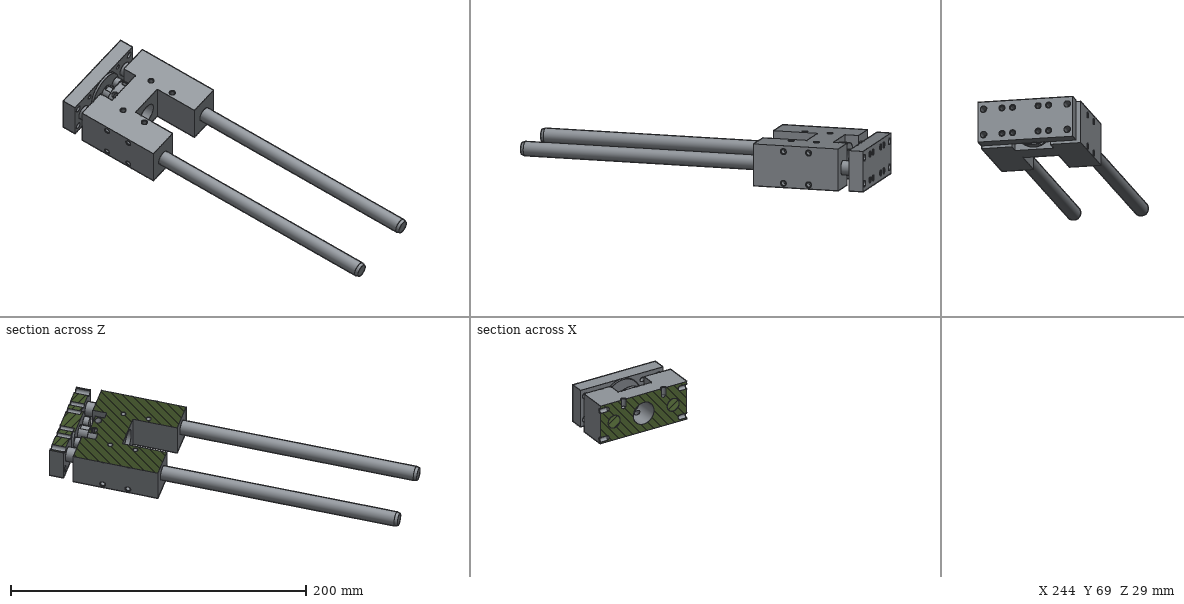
import cadquery as cq
import math


overall_length = 244.0
plate_thickness = 10.0
plate_width = 66.0
plate_height = 28.0
axis_z = plate_height / 2
rod_diameter = 10.0
rod_spacing = 47.0
rod_chamfer_length = 2.2
rod_chamfer_depth = 0.7
plate_corner_hole_diameter = 4.5
plate_corner_hole_spacing = 58.3
plate_tapped_hole_inner_spacing = 17.8
plate_tapped_hole_outer_spacing = 32.5
plate_hole_row_spacing = 17.8

flange_diameter = plate_height
flange_thickness = 1.7
stud_diameter = 10.2
stud_length = 7.0
stud_flat_width = 9.5
stud_flat_length = 6.0
screw_head_diameter = 7.0
screw_head_height = 4.1
screw_spacing = 21.5

housing_start = 17.0
housing_length = 60.0
housing_width = 69.0
housing_height = 29.0
front_notch_depth = 9.8
front_notch_width = 26.8
rear_slot_length = 31.2
rear_slot_width = 25.0
collar_diameter = 25.0
collar_bore_diameter = 16.0
collar_length = 6.5
collar_screw_hole_diameter = 4.1
collar_screw_tilt = 28.0
mounting_hole_depth = 6.0
mounting_hole_first = 21.0
mounting_hole_pitch = 17.8
top_hole_spacing = 32.0
side_hole_spacing = 22.0

tap_bore_diameter = 3.2
tap_mouth_diameter = 4.1
drill_point_angle = 118.0

housing_end = housing_start + housing_length
rod_length = overall_length - plate_thickness
notch_wall = housing_start + front_notch_depth
flange_face = plate_thickness + flange_thickness


def x_cylinder(start, length, diameter, y=0.0):
    """Cylinder along X, centred at height axis_z."""
    return cq.Workplane("YZ", origin=(start, y, axis_z)).circle(diameter / 2).extrude(length)


def x_block(start, length, width, height):
    """Block along X, centred on Y = 0 and standing on Z = 0."""
    base = cq.Workplane("XY", origin=(start, 0, 0))
    return base.box(length, width, height, centered=(False, True, False))


def countersunk_bore(depth, mouth, direction):
    """Tapped hole's bore with a 45 degree countersink at its mouth."""
    bore_radius = tap_bore_diameter / 2
    mouth_radius = tap_mouth_diameter / 2
    bore = cq.Solid.makeCylinder(bore_radius, depth, mouth, direction)
    sink = cq.Solid.makeCone(mouth_radius, bore_radius, mouth_radius - bore_radius, mouth, direction)
    return cq.Workplane(bore).union(cq.Workplane(sink))


def blind_tapped_hole(depth, mouth, direction):
    """Countersunk bore that ends in a conical drill point."""
    radius = tap_bore_diameter / 2
    point_depth = radius / math.tan(math.radians(drill_point_angle / 2))
    point = cq.Solid.makeCone(radius, 0, point_depth, mouth + direction * depth, direction)
    return countersunk_bore(depth, mouth, direction).union(cq.Workplane(point))


def make_plate():
    """Front plate with corner holes and tapped holes running through it."""
    plate = x_block(0, plate_thickness, plate_width, plate_height)
    for side in (-1, 1):
        for row in (-1, 1):
            z = axis_z + row * plate_hole_row_spacing / 2
            corner_y = side * plate_corner_hole_spacing / 2
            corner_hole = cq.Solid.makeCylinder(
                plate_corner_hole_diameter / 2, plate_thickness, cq.Vector(0, corner_y, z), cq.Vector(1, 0, 0)
            )
            plate = plate.cut(cq.Workplane(corner_hole))
            for spacing in (plate_tapped_hole_inner_spacing, plate_tapped_hole_outer_spacing):
                mouth = cq.Vector(0, side * spacing / 2, z)
                plate = plate.cut(countersunk_bore(plate_thickness, mouth, cq.Vector(1, 0, 0)))
    return plate


def make_stud():
    """Central stud with a wrench flat above and below its outer end."""
    stud = x_cylinder(flange_face, stud_length, stud_diameter)
    flat_start = flange_face + stud_length - stud_flat_length
    for side in (-1, 1):
        cut_z = axis_z + side * (stud_flat_width + stud_diameter) / 2
        base = cq.Workplane("XY", origin=(flat_start, 0, cut_z))
        flat_cut = base.box(stud_flat_length, stud_diameter, stud_diameter, centered=(False, True, True))
        stud = stud.cut(flat_cut)
    return stud


def make_slide():
    """Plate, flange, stud, screw heads and both guide rods as one solid."""
    slide = make_plate()
    slide = slide.union(x_cylinder(plate_thickness, flange_thickness, flange_diameter))
    slide = slide.union(make_stud())
    for side in (-1, 1):
        rod = x_cylinder(plate_thickness, rod_length, rod_diameter, side * rod_spacing / 2)
        slide = slide.union(rod.faces(">X").chamfer(rod_chamfer_length, rod_chamfer_depth))
        head = x_cylinder(flange_face, screw_head_height, screw_head_diameter, side * screw_spacing / 2)
        slide = slide.union(head)
    return slide


def make_collar():
    """Clamping collar on the notch wall, with four tilted radial screw holes."""
    collar_start = notch_wall - collar_length
    collar = x_cylinder(collar_start, collar_length, collar_diameter)
    tilt = math.radians(collar_screw_tilt)
    for side in (-1, 1):
        for up in (-1, 1):
            direction = cq.Vector(0, side * math.sin(tilt), up * math.cos(tilt))
            hole = cq.Solid.makeCylinder(
                collar_screw_hole_diameter / 2,
                collar_diameter,
                cq.Vector(collar_start + collar_length / 2, 0, axis_z),
                direction,
            )
            collar = collar.cut(cq.Workplane(hole))
    return collar


def drill_mounting_holes(housing):
    """Blind tapped holes in the top and in both long sides."""
    for index in range(2):
        x = housing_start + mounting_hole_first + index * mounting_hole_pitch
        for side in (-1, 1):
            top_mouth = cq.Vector(x, side * top_hole_spacing / 2, housing_height)
            housing = housing.cut(blind_tapped_hole(mounting_hole_depth, top_mouth, cq.Vector(0, 0, -1)))
            for row in (-1, 1):
                side_mouth = cq.Vector(x, side * housing_width / 2, axis_z + row * side_hole_spacing / 2)
                inward = cq.Vector(0, -side, 0)
                housing = housing.cut(blind_tapped_hole(mounting_hole_depth, side_mouth, inward))
    return housing


def make_housing():
    """H-shaped guide block with the collar and the bores for the rods."""
    housing = x_block(housing_start, housing_length, housing_width, housing_height)
    housing = housing.cut(x_block(housing_start, front_notch_depth, front_notch_width, housing_height))
    rear_slot = x_block(housing_end - rear_slot_length, rear_slot_length, rear_slot_width, housing_height)
    housing = housing.cut(rear_slot)
    housing = housing.union(make_collar())
    housing = housing.cut(x_cylinder(housing_start, housing_length, collar_bore_diameter))
    for side in (-1, 1):
        rod_bore = x_cylinder(housing_start, housing_length, rod_diameter, side * rod_spacing / 2)
        housing = housing.cut(rod_bore)
    return drill_mounting_holes(housing)


slide = make_slide()
housing = make_housing()
result = cq.Compound.makeCompound([slide.val(), housing.val()])